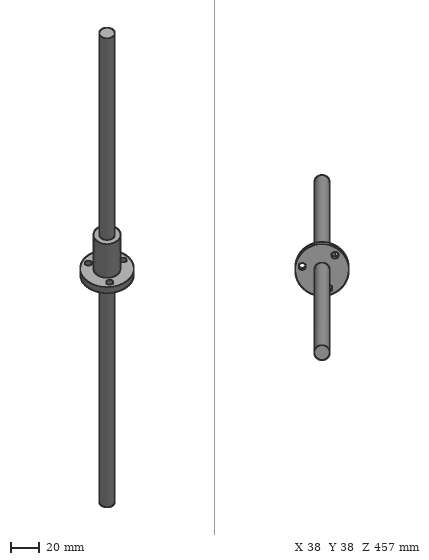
import cadquery as cq

rod_length = 457.0
rod_diameter = 11.0

nut_base_height = 221.7
nut_length = 39.0
sleeve_diameter = 19.0
flange_diameter = 38.0
flange_thickness = 6.0

hole_count = 3
hole_diameter = 5.0
hole_circle_radius = 14.0
first_hole_angle = 105.0


def make_rod():
    """Plain round rod standing on the XY plane."""
    return cq.Workplane("XY").circle(rod_diameter / 2).extrude(rod_length)


def make_nut():
    """Flange with a sleeve above it, bored to fit the rod."""
    base = cq.Workplane("XY").workplane(offset=nut_base_height)
    flange = base.circle(flange_diameter / 2).extrude(flange_thickness)
    sleeve = base.circle(sleeve_diameter / 2).extrude(nut_length)
    bore = base.circle(rod_diameter / 2).extrude(nut_length)
    mounting_holes = (
        base.polarArray(hole_circle_radius, first_hole_angle, 360, hole_count)
        .circle(hole_diameter / 2)
        .extrude(flange_thickness)
    )
    return flange.union(sleeve).cut(bore).cut(mounting_holes)


rod = make_rod()
nut = make_nut()

result = cq.Compound.makeCompound([rod.val(), *nut.solids().vals()])